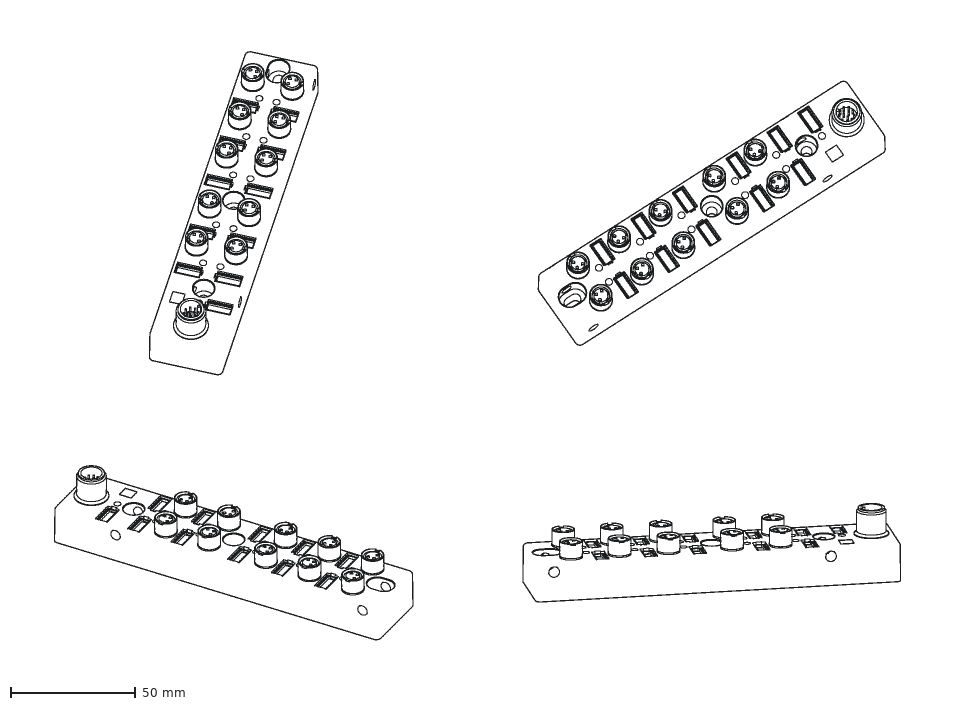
import cadquery as cq
import math

BODY_WIDTH = 30.5
BODY_LENGTH = 149.7
BODY_HEIGHT = 16.2
DRAFT_ANGLE = 0.5
CORNER_RADIUS = 2.1
TOP_FILLET = 1.3

HOLE_DIAMETER = 4.3
COUNTERBORE_DIAMETER = 8.5
COUNTERBORE_CHAMFER = 0.3
COUNTERBORE_DEPTH = 7.5
ROUND_HOLES_Y = (0.0, -46.0)
SLOT_Y = 67.5
SLOT_TRAVEL = 2.8
CROSS_HOLE_Z = 12.3
CROSS_HOLES_Y = (SLOT_Y, ROUND_HOLES_Y[-1])

PORT_X = 8.2
PORT_ROWS_Y = (59.3, 39.4, 19.3, -6.7, -26.6)
SOCKET_TOP = 22.9
SOCKET_DIAMETER = 9.1
SOCKET_CHAMFER = 0.1
MOUTH_DIAMETER = 8.5
INSERT_RECESS = 0.5
COLLAR_DIAMETER = 9.3
COLLAR_HEIGHT = 0.6
GROOVE_OUTER_DIAMETER = 7.2
GROOVE_INNER_DIAMETER = 5.7
GROOVE_DEPTH = 3.0
KEY_WIDTH = 1.8
KEY_DEPTH = 0.6
CONTACT_DIAMETER = 1.1
CONTACT_OFFSET = 1.3
CONTACT_DEPTH = 3.0

LAMP_DIAMETER = 2.8
LAMP_HEIGHT = 0.3
LAMP_X = 3.6
LAMP_DROP = 7.0

LABEL_DROP = 12.0
LABEL_OUTER_X = 13.6
LABEL_INNER_X = 3.3
LABEL_STEPS = ((5.2, 0.9), (4.2, 1.0), (3.3, 2.2))
LABEL_END_STEP = 0.1
TAB_LENGTH = 0.7
TAB_WIDTH = 2.2
TAB_DEPTH = 2.1

STATUS_Y = -53.5
SQUARE_X = -9.0
SQUARE_WIDTH = 5.1
SQUARE_LENGTH = 5.4
SQUARE_DEPTH = 0.1

MAIN_Y = -65.4
MAIN_TOP = 27.2
MAIN_DIAMETER = 12.0
MAIN_RIM_DIAMETER = 10.6
MAIN_RIM_HEIGHT = 0.7
MAIN_BASE_DIAMETER = 14.0
MAIN_BASE_STEP = 0.3
MAIN_BASE_HEIGHT = 1.2
MAIN_BORE_DIAMETER = 8.5
MAIN_BORE_DEPTH = 7.5
RIB_DIAMETER = 1.1
RIB_ANGLE = 45.0
RIB_RECESS = 0.6
PIN_DIAMETER = 0.6
PIN_RECESS = 3.0
OUTER_PIN_CIRCLE = 3.0
OUTER_PIN_COUNT = 9
OUTER_PIN_START = 30.0
INNER_PIN_CIRCLE = 1.2
INNER_PIN_COUNT = 3
INNER_PIN_START = 45.0


def cylinder(x, y, bottom, top, diameter):
    """Upright cylinder between two heights."""
    return cq.Workplane("XY", origin=(x, y, bottom)).circle(diameter / 2).extrude(top - bottom)


def block(x_a, x_b, y_centre, width, bottom, top):
    """Box between two X positions, centred on y_centre."""
    centre = ((x_a + x_b) / 2, y_centre, bottom)
    return cq.Workplane("XY", origin=centre).rect(abs(x_b - x_a), width).extrude(top - bottom)


def make_housing():
    """Slightly drafted block with rounded corners and a rounded top edge."""
    body = (
        cq.Workplane("XY")
        .rect(BODY_WIDTH, BODY_LENGTH)
        .extrude(BODY_HEIGHT, taper=DRAFT_ANGLE)
        .edges("not(|X or |Y)")
        .fillet(CORNER_RADIUS)
    )
    return body.faces(">Z").edges().fillet(TOP_FILLET)


def cut_mounting_hole(body, y, travel):
    """Counterbored hole with a chamfered mouth, stretched along Y by travel."""
    mouth = COUNTERBORE_DIAMETER + 2 * COUNTERBORE_CHAMFER
    steps = (
        (HOLE_DIAMETER, 0, 0),
        (COUNTERBORE_DIAMETER, BODY_HEIGHT - COUNTERBORE_DEPTH, 0),
        (mouth, BODY_HEIGHT - COUNTERBORE_CHAMFER, 45),
    )
    for diameter, bottom, flare in steps:
        tool = cq.Workplane("XY", origin=(0, y, BODY_HEIGHT))
        tool = tool.slot2D(diameter + travel, diameter, 90) if travel else tool.circle(diameter / 2)
        body = body.cut(tool.extrude(bottom - BODY_HEIGHT, taper=flare))
    return body


def cut_cross_holes(body):
    """Holes running straight through the housing along X."""
    cross = (
        cq.Workplane("YZ", origin=(-BODY_WIDTH / 2, 0, 0))
        .pushPoints([(y, CROSS_HOLE_Z) for y in CROSS_HOLES_Y])
        .circle(HOLE_DIAMETER / 2)
        .extrude(BODY_WIDTH)
    )
    return body.cut(cross)


def make_socket(side, y):
    """Three-contact socket; side is -1 or 1 and its key faces outward."""
    x = side * PORT_X
    socket = cylinder(x, y, BODY_HEIGHT, SOCKET_TOP, SOCKET_DIAMETER)
    socket = socket.faces(">Z").edges().chamfer(SOCKET_CHAMFER)
    socket = socket.union(cylinder(x, y, BODY_HEIGHT, BODY_HEIGHT + COLLAR_HEIGHT, COLLAR_DIAMETER))
    groove_floor = SOCKET_TOP - GROOVE_DEPTH
    groove = cylinder(x, y, groove_floor, SOCKET_TOP, GROOVE_OUTER_DIAMETER)
    groove = groove.cut(cylinder(x, y, groove_floor, SOCKET_TOP, GROOVE_INNER_DIAMETER))
    socket = socket.cut(groove)
    mouth_depth = (MOUTH_DIAMETER - GROOVE_OUTER_DIAMETER) / 2
    mouth = cq.Workplane("XY", origin=(x, y, SOCKET_TOP)).circle(MOUTH_DIAMETER / 2)
    funnel = mouth.extrude(-mouth_depth, taper=45)
    face = SOCKET_TOP - INSERT_RECESS
    insert = cylinder(x, y, BODY_HEIGHT, face, GROOVE_INNER_DIAMETER)
    socket = socket.cut(funnel).union(insert)
    key_tip = x + side * SOCKET_DIAMETER / 2
    key_root = x + side * GROOVE_INNER_DIAMETER / 2
    socket = socket.cut(block(key_root, key_tip, y, KEY_WIDTH, SOCKET_TOP - KEY_DEPTH, SOCKET_TOP))
    contact_floor = SOCKET_TOP - CONTACT_DEPTH
    for along, across in ((1, 1), (-1, 1), (-1, -1)):
        contact_x = x + along * side * CONTACT_OFFSET
        contact_y = y + across * CONTACT_OFFSET
        socket = socket.cut(cylinder(contact_x, contact_y, contact_floor, SOCKET_TOP, CONTACT_DIAMETER))
    return socket


def make_lamp(x, y):
    """Low spherical dome, sunk to its rim in the top face."""
    radius = LAMP_DIAMETER / 2
    profile = (
        cq.Workplane("XZ", origin=(x, y, BODY_HEIGHT))
        .moveTo(0, -LAMP_HEIGHT)
        .lineTo(radius, -LAMP_HEIGHT)
        .lineTo(radius, 0)
        .radiusArc((0, LAMP_HEIGHT), -(radius**2 + LAMP_HEIGHT**2) / (2 * LAMP_HEIGHT))
        .close()
    )
    return profile.revolve(360, (0, 0), (0, 1))


def cut_label_pocket(body, side, y):
    """Pocket stepped down along its long sides, with a pry notch at its inner end."""
    for level, (width, depth) in enumerate(LABEL_STEPS):
        inner = side * (LABEL_INNER_X + level * LABEL_END_STEP)
        outer = side * (LABEL_OUTER_X - level * LABEL_END_STEP)
        body = body.cut(block(inner, outer, y, width, BODY_HEIGHT - depth, BODY_HEIGHT))
    notch_end = side * (LABEL_INNER_X - TAB_LENGTH)
    notch_root = side * LABEL_INNER_X
    return body.cut(block(notch_end, notch_root, y, TAB_WIDTH, BODY_HEIGHT - TAB_DEPTH, BODY_HEIGHT))


def make_main_connector():
    """Stepped round connector with a conical foot, and a rib and pins in its bore."""
    shoulder = MAIN_TOP - MAIN_RIM_HEIGHT
    taper = (MAIN_DIAMETER - MAIN_RIM_DIAMETER) / 2
    profile = (
        cq.Workplane("XZ", origin=(0, MAIN_Y, 0))
        .moveTo(0, BODY_HEIGHT)
        .lineTo(MAIN_BASE_DIAMETER / 2, BODY_HEIGHT)
        .lineTo(MAIN_BASE_DIAMETER / 2, BODY_HEIGHT + MAIN_BASE_STEP)
        .lineTo(MAIN_DIAMETER / 2, BODY_HEIGHT + MAIN_BASE_HEIGHT)
        .lineTo(MAIN_DIAMETER / 2, shoulder - taper)
        .lineTo(MAIN_RIM_DIAMETER / 2, shoulder)
        .lineTo(MAIN_RIM_DIAMETER / 2, MAIN_TOP)
        .lineTo(0, MAIN_TOP)
        .close()
    )
    connector = profile.revolve(360, (0, 0), (0, 1))
    floor = MAIN_TOP - MAIN_BORE_DEPTH
    connector = connector.cut(cylinder(0, MAIN_Y, floor, MAIN_TOP, MAIN_BORE_DIAMETER))
    rib_angle = math.radians(RIB_ANGLE)
    rib_circle = (MAIN_BORE_DIAMETER - RIB_DIAMETER) / 2
    rib_x = rib_circle * math.cos(rib_angle)
    rib_y = MAIN_Y + rib_circle * math.sin(rib_angle)
    connector = connector.union(cylinder(rib_x, rib_y, floor, MAIN_TOP - RIB_RECESS, RIB_DIAMETER))
    rings = (
        (OUTER_PIN_CIRCLE, OUTER_PIN_COUNT, OUTER_PIN_START),
        (INNER_PIN_CIRCLE, INNER_PIN_COUNT, INNER_PIN_START),
    )
    for radius, count, start in rings:
        for i in range(count):
            angle = math.radians(start + i * 360 / count)
            pin_x = radius * math.cos(angle)
            pin_y = MAIN_Y + radius * math.sin(angle)
            connector = connector.union(cylinder(pin_x, pin_y, floor, MAIN_TOP - PIN_RECESS, PIN_DIAMETER))
    return connector


result = cut_mounting_hole(make_housing(), SLOT_Y, SLOT_TRAVEL)
for hole_y in ROUND_HOLES_Y:
    result = cut_mounting_hole(result, hole_y, 0)
result = cut_cross_holes(result)

for row_y in PORT_ROWS_Y:
    for port_side in (-1, 1):
        result = cut_label_pocket(result, port_side, row_y - LABEL_DROP)
        result = result.union(make_socket(port_side, row_y))
        result = result.union(make_lamp(port_side * LAMP_X, row_y - LAMP_DROP))

result = cut_label_pocket(result, 1, STATUS_Y)
result = result.union(make_lamp(0, STATUS_Y))
square_left = SQUARE_X - SQUARE_WIDTH / 2
square_right = SQUARE_X + SQUARE_WIDTH / 2
result = result.cut(
    block(square_left, square_right, STATUS_Y, SQUARE_LENGTH, BODY_HEIGHT - SQUARE_DEPTH, BODY_HEIGHT)
)
result = result.union(make_main_connector())